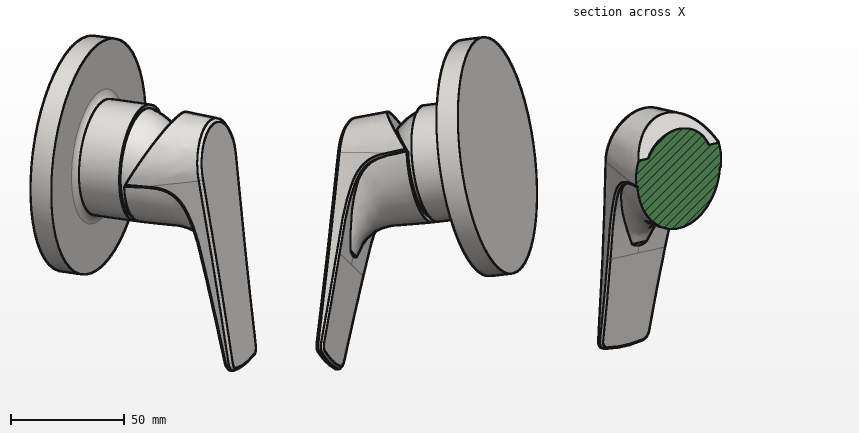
import cadquery as cq
import math

plate_radius = 52.5
plate_thickness = 10.0
collar_radius = 30.0
neck_radius = 25.9
neck_start = 11.8
neck_end = 31.1
collar_bend_length = 0.7
collar_bend_height = 1.7

ball_center = 25.2
ball_radius = 25.0

handle_back = 33.4
handle_front = 80.73
crease_height = -2.7
back_radius = neck_radius
front_radius = 17.5
front_arc_center = 6.0
part_height = 140.47
tip_bottom = plate_radius - part_height
tip_half_width = 14.2
tip_corner = 4.5
tip_bow = 0.8
hood_cut_top = (52.0, 30.1)
blade_front_top = (64.3, 30.1)
blade_tip_front = (handle_front, tip_bottom)
blade_tip_back = (77.3, tip_bottom)
blade_root = (68.2, -43.0)
crease_end = (45.0, -2.9)
crease_bend = (61.0, -15.0)
front_chamfer = 1.4
back_chamfer = 1.0

flare_start = 51.0
flare_radius = 16.5
flare_steps = 5
underbody_front = 67.2
underbody_front_half_width = 16.5


def make_base():
    """Plate, collar, neck and ball, turned about X."""
    outline = [
        (0, 0),
        (0, plate_radius),
        (plate_thickness, plate_radius),
        (plate_thickness, collar_radius),
    ]
    collar_bend = (plate_thickness + collar_bend_length, neck_radius + collar_bend_height)
    seat_offset = neck_end - ball_center
    seat_radius = math.sqrt(ball_radius**2 - seat_offset**2)
    ball_bend = ball_radius * math.sqrt(0.5)
    profile = (
        cq.Workplane("XY")
        .polyline(outline)
        .threePointArc(collar_bend, (neck_start, neck_radius))
        .lineTo(neck_end, neck_radius)
        .lineTo(neck_end, seat_radius)
        .threePointArc((ball_center + ball_bend, ball_bend), (ball_center + ball_radius, 0))
        .close()
    )
    return profile.revolve(360, (0, 0, 0), (1, 0, 0))


def frontal_outline(plane, radius, arc_center):
    """Round head with straight sides tangent to it, narrowing to a bowed tip."""
    corner_z = tip_bottom + tip_bow + tip_corner
    drop = arc_center - corner_z
    tangent_angle = math.atan2(-drop, tip_half_width) + math.acos(radius / math.hypot(drop, tip_half_width))
    y = radius * math.cos(tangent_angle)
    z = arc_center + radius * math.sin(tangent_angle)
    inner = tip_half_width - tip_corner
    bend = tip_corner * (1 - math.sqrt(0.5))
    base_z = tip_bottom + tip_bow
    return (
        plane.moveTo(y, z)
        .threePointArc((0, arc_center + radius), (-y, z))
        .lineTo(-tip_half_width, corner_z)
        .threePointArc((-tip_half_width + bend, base_z + bend), (-inner, base_z))
        .threePointArc((0, tip_bottom), (inner, base_z))
        .threePointArc((tip_half_width - bend, base_z + bend), (tip_half_width, corner_z))
        .close()
    )


def make_taper():
    """Oblique taper running from the back outline to the smaller, higher front outline."""
    back_plane = cq.Workplane("YZ", origin=(handle_back, 0, 0))
    back = frontal_outline(back_plane, back_radius, 0)
    front_plane = back.workplane(offset=handle_front - handle_back)
    return frontal_outline(front_plane, front_radius, front_arc_center).loft(ruled=True, combine=True)


def midpoint(start, end):
    return (start[0] + end[0]) / 2, (start[1] + end[1]) / 2


def bevel_face(body, point, size):
    """Chamfer all the edges of the face nearest to an (x, z) point of the symmetry plane."""
    face = cq.selectors.NearestToPointSelector((point[0], 0, point[1]))
    return body.faces(face).edges().chamfer(size)


def make_hood():
    """Hood and lever blade in one: the taper trimmed to its side profile, with bevelled faces."""
    blade_direction = (blade_root[0] - blade_tip_back[0], blade_root[1] - blade_tip_back[1])
    side = (
        cq.Workplane("XZ")
        .moveTo(handle_back, crease_height)
        .lineTo(*hood_cut_top)
        .lineTo(*blade_front_top)
        .lineTo(*blade_tip_front)
        .lineTo(*blade_tip_back)
        .lineTo(*blade_root)
        .spline([crease_bend, crease_end], tangents=[blade_direction, (-1, 0)], includeCurrent=True)
        .close()
        .extrude(plate_radius, both=True)
    )
    hood = make_taper().intersect(side)
    hood = bevel_face(hood, midpoint(blade_front_top, blade_tip_front), front_chamfer)
    return bevel_face(hood, midpoint(blade_root, blade_tip_back), back_chamfer)


def underbody_section(x):
    """Half width and half height of the elliptical underbody at x."""
    along = (x - handle_back) / (underbody_front - handle_back)
    half_width = back_radius + along * (underbody_front_half_width - back_radius)
    into_flare = max(0, x - flare_start)
    half_height = back_radius + flare_radius - math.sqrt(flare_radius**2 - into_flare**2)
    return half_width, half_height


def make_underbody():
    """Loft through elliptical sections, kept only below the crease."""
    body = cq.Workplane("YZ", origin=(handle_back, 0, 0))
    previous = handle_back
    flare_length = underbody_front - flare_start
    stations = [handle_back, (handle_back + flare_start) / 2]
    stations += [flare_start + flare_length * step / flare_steps for step in range(flare_steps + 1)]
    for x in stations:
        half_width, half_height = underbody_section(x)
        body = body.workplane(offset=x - previous).ellipse(half_width, half_height)
        previous = x
    body = body.loft(combine=True)
    below_crease = (
        cq.Workplane("XY")
        .box(underbody_front, 2 * plate_radius, plate_radius, centered=(False, True, False))
        .translate((handle_back, 0, crease_height - plate_radius))
    )
    return body.intersect(below_crease)


result = make_base().union(make_hood()).union(make_underbody())